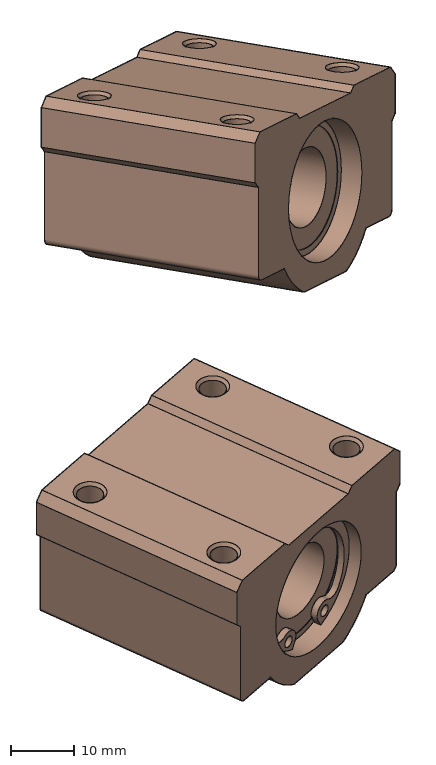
import cadquery as cq
import math

length = 39.0
width = 44.0
half_width = width / 2
half_height = 15.0

top_chamfer = 1.5
channel_top_half = 9.0
channel_depth = 1.0
flange_height = 8.0
flange_setback = 1.0
shoulder_z = -9.5
shoulder_fillet = 1.0
belly_radius = 15.3
belly_center_z = -1.2

hole_diameter = 4.3
hole_mouth_diameter = 5.32
hole_mouth_angle = 90
hole_spacing_x = 26.0
hole_spacing_y = 33.0

bearing_diameter = 23.0
bearing_bore = 13.0
bearing_inset = 3.5
nose_diameter = 22.25
nose_length = 0.8
face_recess_diameter = 20.0
face_recess_depth = 0.1

ring_thickness = 1.2
ring_inner_radius = 10.15
ring_inner_center_z = -0.75
ear_radius = 2.0
ear_y = 4.85
ear_z = -8.62
ear_hole_diameter = 2.0
ear_blend_radius = 2.0

end_x = -length / 2
seat_x = end_x + bearing_inset


def cylinder_x(diameter, start_x, depth, y=0, z=0):
    """Solid cylinder along +X from start_x."""
    return cq.Workplane("YZ", origin=(start_x, y, z)).circle(diameter / 2).extrude(depth)


def make_profile():
    """Closed outline of the housing in the YZ plane."""
    top_z = half_height
    flange_low_z = top_z - flange_height
    body_half = half_width - flange_setback
    channel_floor_half = channel_top_half - channel_depth
    right_side = [
        (channel_floor_half, top_z - channel_depth),
        (channel_top_half, top_z),
        (half_width - top_chamfer, top_z),
        (half_width, top_z - top_chamfer),
        (half_width, flange_low_z),
        (body_half, flange_low_z - flange_setback),
        (body_half, shoulder_z),
    ]

    def belly_half(z):
        return math.sqrt(belly_radius**2 - (z - belly_center_z) ** 2)

    middle_z = (shoulder_z - half_height) / 2
    arc_start = (belly_half(shoulder_z), shoulder_z)
    arc_middle = (belly_half(middle_z), middle_z)
    arc_end = (belly_half(-half_height), -half_height)

    def mirrored(point):
        return (-point[0], point[1])

    outline = cq.Workplane("YZ", origin=(end_x, 0, 0)).polyline(right_side + [arc_start])
    outline = outline.threePointArc(arc_middle, arc_end).lineTo(*mirrored(arc_end))
    outline = outline.threePointArc(mirrored(arc_middle), mirrored(arc_start))
    for point in reversed(right_side):
        outline = outline.lineTo(*mirrored(point))
    return outline.close()


def make_housing():
    """Block with rounded lower corners, the bearing bore and four mounting holes."""
    body = make_profile().extrude(length)
    for side in (-1, 1):
        corner = (0, side * (half_width - flange_setback), shoulder_z)
        body = body.edges(cq.selectors.NearestToPointSelector(corner)).fillet(shoulder_fillet)
    body = body.cut(cylinder_x(bearing_diameter, end_x, length))
    return (
        body.faces(">Z")
        .workplane(origin=(0, 0, half_height))
        .rarray(hole_spacing_x, hole_spacing_y, 2, 2)
        .cskHole(hole_diameter, hole_mouth_diameter, hole_mouth_angle)
    )


def make_bearing():
    """Sleeve with tapered ends and a shallow recess in each end face."""
    bearing_length = length - 2 * bearing_inset
    bearing_half = bearing_length / 2
    section = [
        (-bearing_half, bearing_bore / 2),
        (-bearing_half, nose_diameter / 2),
        (-bearing_half + nose_length, bearing_diameter / 2),
        (bearing_half - nose_length, bearing_diameter / 2),
        (bearing_half, nose_diameter / 2),
        (bearing_half, bearing_bore / 2),
    ]
    sleeve = cq.Workplane("XY").polyline(section).close().revolve(360, (0, 0, 0), (1, 0, 0))
    for start_x in (-bearing_half, bearing_half - face_recess_depth):
        sleeve = sleeve.cut(cylinder_x(face_recess_diameter, start_x, face_recess_depth))
    return sleeve


def make_ring():
    """Open retaining ring with two ears, seated against the bearing face."""
    ring_x = seat_x - ring_thickness
    middle_x = seat_x - ring_thickness / 2
    plane = cq.Workplane("YZ", origin=(ring_x, 0, 0))
    disc = cylinder_x(bearing_diameter, ring_x, ring_thickness)
    opening = cylinder_x(2 * ring_inner_radius, ring_x, ring_thickness, z=ring_inner_center_z)
    ring = disc.cut(opening)

    ear_distance = math.hypot(ear_y, ear_z)
    radial_y = ear_y / ear_distance
    radial_z = ear_z / ear_distance
    reach = bearing_diameter
    tangent_y = ear_y + ear_radius * radial_z
    tangent_z = ear_z - ear_radius * radial_y
    far_tangent_y = tangent_y + reach * radial_y
    far_tangent_z = tangent_z + reach * radial_z

    for side in (-1, 1):
        ear = cylinder_x(2 * ear_radius, ring_x, ring_thickness, side * ear_y, ear_z)
        root_points = [
            (side * ear_y, ear_z),
            (side * tangent_y, tangent_z),
            (side * far_tangent_y, far_tangent_z),
            (side * (ear_y + reach * radial_y), ear_z + reach * radial_z),
        ]
        root = plane.polyline(root_points).close().extrude(ring_thickness)
        ring = ring.union(ear.union(root).intersect(disc))

    gap_points = [
        (tangent_y, tangent_z),
        (far_tangent_y, far_tangent_z),
        (-far_tangent_y, far_tangent_z),
        (-tangent_y, tangent_z),
    ]
    ring = ring.cut(plane.polyline(gap_points).close().extrude(ring_thickness))

    for side in (-1, 1):
        notch = (middle_x, side * (ear_y + ear_radius), ear_z)
        ring = ring.edges("|X").edges(cq.selectors.NearestToPointSelector(notch)).fillet(ear_blend_radius)
        ring = ring.cut(cylinder_x(ear_hole_diameter, ring_x, ring_thickness, side * ear_y, ear_z))
    return ring


housing = make_housing()
bearing = make_bearing()
ring = make_ring()

result = cq.Compound.makeCompound([housing.val(), bearing.val(), ring.val()])